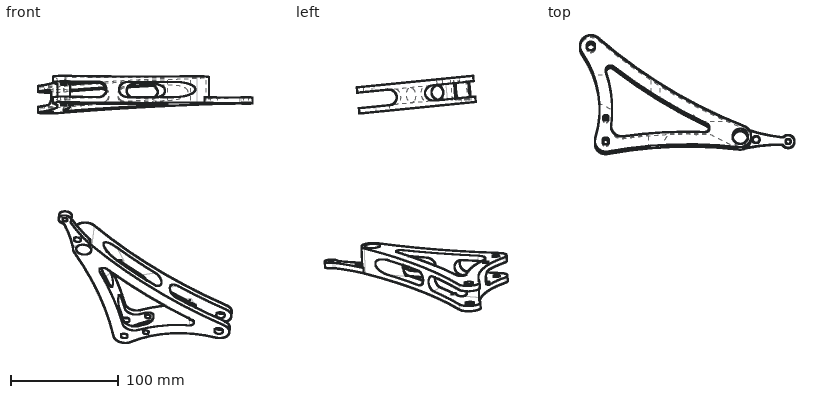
import cadquery as cq
import math

TILT = 5.7
HEIGHT = 24.57
PLATE = 5.2
GAP = HEIGHT - 2 * PLATE
ARM_WIDTH = 11.7

LUG_RADIUS = 10.1
PIVOT = (0.0, 0.0)
REAR_LUG = (-138.5, 84.2)
FRONT_LUG = (-124.7, -4.2)
PIVOT_BORE = 14.1
REAR_HOLE = 8.0
FRONT_HOLE = 6.4
PIN_HOLE = 5.2
PIN_CENTER = (-124.5, 17.3)

LEFT_RADIUS = 92.5
FRONT_RADIUS = 407.8
LONG_RADIUS = 467.5

REAR_CORNER = 4.4
FRONT_CORNER = 10.0
PIVOT_CORNER = 4.0

LEVER_END = (44.4, -2.8)
LEVER_END_RADIUS = 6.0
LEVER_END_HOLE = 4.8
LEVER_HOLE_CENTER = (14.7, -1.0)
LEVER_HOLE = 6.4
NECK_FILLET = 2.0

LEVER_TOP = [(6.0, 8.4), (20.7, 4.2), (39.8, 1.0)]
LEVER_BOTTOM = [(39.8, -5.8), (23.9, -6.2), (6.0, -8.8)]
NECK_MIN = (36.8, -10.0, -2.0)
NECK_MAX = (40.8, 6.0, PLATE + 2.0)

ALONG_X = 0.0
ALONG_Y = 90.0
OBLIQUE = -27.0
SQUARE_TO_LONG_ARM = 59.0
REAR_SLOT_LEFT_ARM = (REAR_LUG[0], 58.3)
REAR_SLOT_LONG_ARM = (-82.8, 27.9)
REAR_SLOT_WIDTH = 33.8
FRONT_SLOT_LEFT_ARM = (-130.3, 31.6)
FRONT_SLOT_FRONT_ARM = (-85.1, FRONT_LUG[1])
LONG_OPENING_LEFT = (-74.6, 16.0)
LONG_OPENING_WIDTH = 36.8
LONG_OPENING_RIGHT = (-35.8, 15.0)
FRONT_OPENING_LEFT = (-73.2, -7.5)
FRONT_OPENING_WIDTH = 27.9
FRONT_OPENING_RIGHT = (-3.0, -9.7)
RUNOUT_WIDTH = 25.9
OPEN_REACH = 79.5
CLEAR = 19.9


def circle_meet(center_a, radius_a, center_b, radius_b):
    """Crossing point of two circles, on the left going from a to b."""
    dx = center_b[0] - center_a[0]
    dy = center_b[1] - center_a[1]
    span = math.hypot(dx, dy)
    along = (span**2 + radius_a**2 - radius_b**2) / (2 * span)
    across = math.sqrt(radius_a**2 - along**2)
    x = center_a[0] + (along * dx - across * dy) / span
    y = center_a[1] + (along * dy + across * dx) / span
    return (x, y)


def side_center(start, end, radius):
    """Center of the concave side tangent to two lugs, left of start to end."""
    reach = radius + LUG_RADIUS
    return circle_meet(start, reach, end, reach)


def toward(origin, target, distance):
    """Point at a distance from origin in the direction of target."""
    dx = target[0] - origin[0]
    dy = target[1] - origin[1]
    scale = distance / math.hypot(dx, dy)
    return (origin[0] + dx * scale, origin[1] + dy * scale)


def arc_middle(center, radius, start, end):
    """Middle of the short arc between two points on a circle."""
    return toward(center, ((start[0] + end[0]) / 2, (start[1] + end[1]) / 2), radius)


def cylinder(center, diameter, height):
    return cq.Workplane("XY").center(*center).circle(diameter / 2).extrude(height)


LEFT_CENTER = side_center(FRONT_LUG, REAR_LUG, LEFT_RADIUS)
FRONT_CENTER = side_center(PIVOT, FRONT_LUG, FRONT_RADIUS)
LONG_CENTER = side_center(REAR_LUG, PIVOT, LONG_RADIUS)


def triangle_body():
    """Full-height triangle with round lugs and concave sides."""
    sides = [
        (FRONT_LUG, REAR_LUG, LEFT_CENTER, LEFT_RADIUS),
        (REAR_LUG, PIVOT, LONG_CENTER, LONG_RADIUS),
        (PIVOT, FRONT_LUG, FRONT_CENTER, FRONT_RADIUS),
    ]
    centroid = tuple(sum(lug[i] for lug in (PIVOT, REAR_LUG, FRONT_LUG)) / 3 for i in (0, 1))
    outline = cq.Workplane("XY").moveTo(*toward(FRONT_LUG, LEFT_CENTER, LUG_RADIUS))
    for i, (start, end, center, radius) in enumerate(sides):
        arc_start = toward(start, center, LUG_RADIUS)
        arc_end = toward(end, center, LUG_RADIUS)
        next_center = sides[(i + 1) % len(sides)][2]
        lug_tip = toward(end, centroid, -LUG_RADIUS)
        outline = outline.threePointArc(arc_middle(center, radius, arc_start, arc_end), arc_end)
        outline = outline.threePointArc(lug_tip, toward(end, next_center, LUG_RADIUS))
    return outline.close().extrude(HEIGHT)


def window():
    """Triangular window that leaves arms of constant width."""
    left = LEFT_RADIUS + ARM_WIDTH
    front = FRONT_RADIUS + ARM_WIDTH
    long_side = LONG_RADIUS + ARM_WIDTH
    rear = circle_meet(LONG_CENTER, long_side, LEFT_CENTER, left)
    tip = circle_meet(FRONT_CENTER, front, LONG_CENTER, long_side)
    corner = circle_meet(LEFT_CENTER, left, FRONT_CENTER, front)
    cutter = (
        cq.Workplane("XY")
        .moveTo(*corner)
        .threePointArc(arc_middle(LEFT_CENTER, left, corner, rear), rear)
        .threePointArc(arc_middle(LONG_CENTER, long_side, rear, tip), tip)
        .threePointArc(arc_middle(FRONT_CENTER, front, tip, corner), corner)
        .close()
        .extrude(HEIGHT)
    )
    for point, radius in ((rear, REAR_CORNER), (tip, PIVOT_CORNER), (corner, FRONT_CORNER)):
        edge = cq.selectors.NearestToPointSelector((point[0], point[1], HEIGHT / 2))
        cutter = cutter.edges("|Z").edges(edge).fillet(radius)
    return cutter


def side_slot(point, angle, width, before, after):
    """Round-ended slot between the plates, cut along angle.

    One round end touches the line through point; the slot spreads from that line
    to the left of the cutting direction (to the right if width is negative).
    """
    ux = math.cos(math.radians(angle))
    uy = math.sin(math.radians(angle))
    origin = (
        point[0] - before * ux - width / 2 * uy,
        point[1] - before * uy + width / 2 * ux,
        HEIGHT / 2,
    )
    plane = cq.Plane(origin=origin, xDir=(-uy, ux, 0), normal=(ux, uy, 0))
    return cq.Workplane(plane).slot2D(abs(width), GAP).extrude(before + after)


def side_openings():
    """Lug slots and arm openings between the two plates."""
    return [
        side_slot(REAR_SLOT_LEFT_ARM, ALONG_X, OPEN_REACH, CLEAR, REAR_SLOT_WIDTH),
        side_slot(REAR_SLOT_LONG_ARM, ALONG_Y, REAR_SLOT_WIDTH, 0, OPEN_REACH),
        side_slot(FRONT_SLOT_LEFT_ARM, OBLIQUE, -OPEN_REACH, CLEAR, 1.2 * CLEAR),
        side_slot(FRONT_SLOT_FRONT_ARM, ALONG_Y, OPEN_REACH, CLEAR, 0.8 * CLEAR),
        side_slot(LONG_OPENING_LEFT, ALONG_Y, -LONG_OPENING_WIDTH, 0, OPEN_REACH),
        side_slot(LONG_OPENING_RIGHT, ALONG_X, RUNOUT_WIDTH, CLEAR, 2 * CLEAR),
        side_slot(FRONT_OPENING_LEFT, SQUARE_TO_LONG_ARM, -FRONT_OPENING_WIDTH, CLEAR, 1.5 * CLEAR),
        side_slot(FRONT_OPENING_RIGHT, OBLIQUE, -RUNOUT_WIDTH, 2.5 * CLEAR, 2 * CLEAR),
    ]


def lever():
    """Thin lever reaching from the pivot to a small eye, flush with the lower plate."""
    arm = (
        cq.Workplane("XY")
        .moveTo(*LEVER_TOP[0])
        .threePointArc(*LEVER_TOP[1:])
        .lineTo(*LEVER_BOTTOM[0])
        .threePointArc(*LEVER_BOTTOM[1:])
        .close()
        .extrude(PLATE)
    )
    eye = cylinder(LEVER_END, 2 * LEVER_END_RADIUS, PLATE)
    neck = cq.selectors.BoxSelector(NECK_MIN, NECK_MAX)
    return arm.union(eye).edges("|Z").edges(neck).fillet(NECK_FILLET)


body = triangle_body().cut(window())
for opening in side_openings():
    body = body.cut(opening)
body = body.union(lever())

holes = [
    (PIVOT, PIVOT_BORE),
    (REAR_LUG, REAR_HOLE),
    (FRONT_LUG, FRONT_HOLE),
    (PIN_CENTER, PIN_HOLE),
    (LEVER_HOLE_CENTER, LEVER_HOLE),
    (LEVER_END, LEVER_END_HOLE),
]
for hole_center, hole_diameter in holes:
    body = body.cut(cylinder(hole_center, hole_diameter, HEIGHT))

result = body.rotate((0, 0, 0), (1, 0, 0), -TILT)